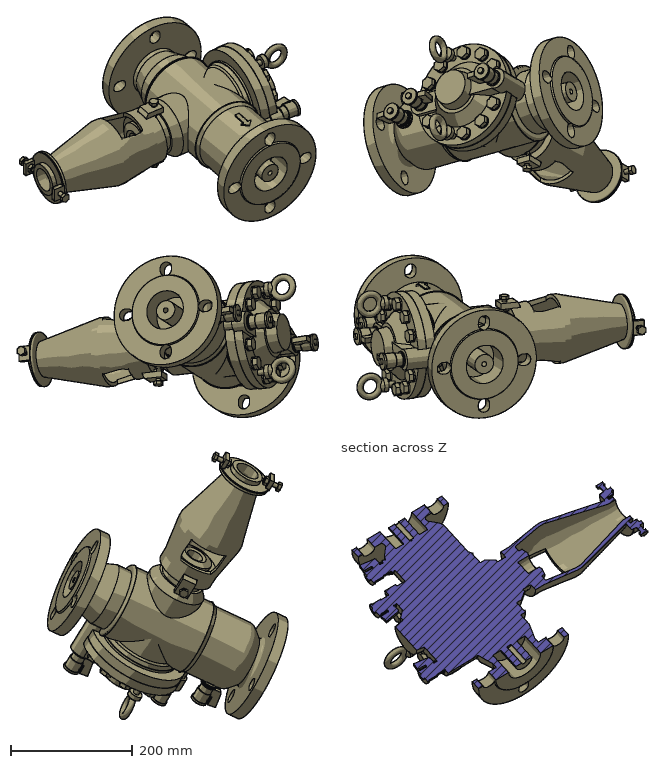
import cadquery as cq
import math


overlap = 2.5

run_left = -156.5
run_right = 200.0
flange_radius = 185.0 / 2
flange_thickness = 18.5
face_radius = 59.0
face_base_radius = 60.5
face_height = 3.0
flange_slot_width = 20.0
flange_slot_inner = 59.0
flange_slot_outer = 82.5
pipe_radius = 43.5
inlet_taper_start = -126.5
inlet_taper_end = -98.0
inlet_radius = 53.0
body_radius = 62.7
lip_radius = 64.0
lip_width = 4.5
lip_round = 4.0
body_left = -75.0
body_right = 73.5
outlet_left = 80.5
outlet_radius = 60.0
outlet_shoulder_start = 146.0
outlet_shoulder_middle = (153.0, 58.0)
outlet_shoulder_end = (159.0, 53.5)
outlet_neck_start = 170.5
outlet_neck_radius = 43.0
outlet_neck_round = 5.5
bore_radius = 65.0 / 2
bore_depth = 43.5
plug_radius = 33.0 / 2
plug_setback = 2.5
plug_hole_diameter = 8.0

neck_radius = body_radius - 0.15
neck_ring_radius = 69.0
cover_bottom = 59.5
cover_split = 76.0
cover_top = 90.7
body_flange_radius = 88.0
cover_radius = 89.0
dome_step = 109.5
dome_top = 128.0
dome_base_radius = 57.0
dome_step_radius = 39.5
cap_base_radius = 33.5
cap_top_radius = 30.0
cover_bolt_circle = 73.0
cover_bolt_angles = (28, 56, 94, 124, 152)
eyebolt_angle = 75
eye_top = 157.0
eye_outer_radius = 22.5
eye_wire_radius = 5.5

lug_radius = 17.5
lug_offset = 81.0
left_arm_half_width = 16.0
left_lug_top = 114.0
left_lug_bottom = 43.5
right_lug_top = 98.0
lug_foot_radius = 13.5
left_cock_x = -78.0
right_cock_x = 76.7
outlet_cock_x = 135.0
outlet_cock_base = 66.0
handle_thickness = 8.5

socket_radius = 50.5
socket_tip_radius = 39.5
socket_end = -72.0
socket_tip = -87.0
drain_neck_radius = 35.0
bell_top = -102.5
bell_shoulder = -119.5
bell_waist_top = -182.5
bell_waist_bottom = -192.5
bell_bottom = -301.5
bell_top_radius = 48.5
bell_waist_radius = 57.5
bell_bottom_radius = 30.0
bell_wall = 6.5
bell_roof = -128.0
nozzle_shoulder = -133.5
nozzle_end = -137.0
nozzle_radius = 32.0
nozzle_countersink = 2.0
nozzle_bore_radius = 28.0 / 2
nozzle_bore_depth = 24.0
window_top = -137.5
window_arc_end = -154.5
window_arc_half_width = 31.0
window_arc_y = -146.0
window_half_width = 32.5
window_top_half_width = 27.5
plate_radius = 45.5
plate_round = 2.0
lower_plate_radius = 45.0
plate_seam = -306.5
plate_bottom = -309.0
stub_radius = 55.0 / 2
stub_bore_radius = 39.5 / 2
stub_end = -317.0

clamp_half_width = 12.3
screw_hex = 13.5
screw_radius = 8.0 / 2
screw_head = 6.0
screw_tip = 1.0
upper_screw_y = -96.0
lower_screw_y = -315.0
screw_stand_off = 4.5
lower_screw_stand_off = 11.0
clamp_inner = 46.5
clamp_outer = 56.5
clamp_start = -85.5
clamp_bevel = -115.5
tab_inner = 38.0
tab_outer = 45.5
tab_end = -326.0


def turned_x(points):
    """Solid of revolution about X from (x, radius) points, closed along the axis."""
    closed = [(points[0][0], 0)] + points + [(points[-1][0], 0)]
    return cq.Workplane("XY").polyline(closed).close().revolve(360, (0, 0, 0), (1, 0, 0))


def turned_y(points, x=0, z=0):
    """Solid of revolution about an axis parallel to Y from (y, radius) points."""
    profile = [(0, points[0][0])] + [(r, y) for y, r in points] + [(0, points[-1][0])]
    solid = cq.Workplane("XY").polyline(profile).close().revolve(360, (0, 0, 0), (0, 1, 0))
    return solid.translate((x, 0, z))


def cylinder_y(radius, start, end, x=0, z=0):
    return turned_y([(start, radius), (end, radius)], x, z)


def hexagon(plane, across_flats):
    """Workplane with a hexagon outline of the given width across flats."""
    return cq.Workplane(plane).polygon(6, across_flats / math.cos(math.pi / 6))


def mirrored_z(solid):
    return solid.union(solid.mirror("XY"))


def run_flange(face_x, inward):
    """Pipe flange with a raised face; inward is the X direction towards the body."""
    back_x = face_x + inward * face_height
    disc = turned_x([(face_x, face_radius), (back_x, face_base_radius), (back_x, flange_radius),
                     (back_x + inward * flange_thickness, flange_radius)])
    slots = (cq.Workplane("YZ", origin=(face_x, 0, 0))
             .polarArray((flange_slot_inner + flange_slot_outer) / 2, 0, 360, 4)
             .slot2D(flange_slot_outer - flange_slot_inner, flange_slot_width)
             .extrude(inward * (face_height + flange_thickness)))
    return disc.cut(slots)


def run_bore(face_x, inward):
    """Cavity at a run end, leaving a centre plug with a small hole."""
    floor_x = face_x + inward * bore_depth
    plug_x = face_x + inward * plug_setback
    cavity = turned_x([(face_x, bore_radius), (floor_x, bore_radius)])
    plug = turned_x([(plug_x, plug_radius), (floor_x, plug_radius)])
    hole = turned_x([(plug_x, plug_hole_diameter / 2), (floor_x, plug_hole_diameter / 2)])
    return cavity.cut(plug).union(hole)


def run_body():
    inlet = turned_x([(run_left + face_height, pipe_radius), (inlet_taper_start, pipe_radius),
                      (inlet_taper_end, inlet_radius), (body_left + lip_width, inlet_radius)])
    lip = turned_x([(body_left, lip_radius), (body_left + lip_width, lip_radius)])
    lip = lip.faces("<X").edges().fillet(lip_round)
    middle = turned_x([(body_left + lip_width, body_radius), (body_right, body_radius),
                       (body_right, lip_radius), (outlet_left, outlet_radius)])
    flange_back = run_right - face_height - flange_thickness
    neck_start = flange_back - outlet_neck_round
    outlet = (cq.Workplane("XY").moveTo(outlet_left, 0).lineTo(outlet_left, outlet_radius)
              .lineTo(outlet_shoulder_start, outlet_radius)
              .threePointArc(outlet_shoulder_middle, outlet_shoulder_end)
              .lineTo(outlet_neck_start, outlet_neck_radius).lineTo(neck_start, outlet_neck_radius)
              .radiusArc((flange_back, outlet_neck_radius + outlet_neck_round), -outlet_neck_round)
              .lineTo(flange_back, 0).close()
              .revolve(360, (0, 0, 0), (1, 0, 0)))
    return inlet.union(lip).union(middle).union(outlet)


def flow_arrow():
    """Raised arrow on top of the outlet, pointing along +X."""
    tail_x, barb_x, tip_x = 102.0, 127.5, 138.0
    shaft, barb = 4.5, 10.0
    embed, height = 3.0, 2.0
    return (cq.Workplane("XY").workplane(offset=outlet_radius - embed)
            .polyline([(tail_x, -shaft), (barb_x, -shaft), (barb_x, -barb), (tip_x, 0),
                       (barb_x, barb), (barb_x, shaft), (tail_x, shaft)])
            .close().extrude(embed + height))


def cover():
    ring_start, ring_step, ring_top = 45.0, 48.5, 55.5
    neck = turned_y([(0, neck_radius), (ring_start, neck_radius), (ring_step, 65.5),
                     (ring_top, 67.5), (ring_top, neck_ring_radius), (cover_bottom, neck_ring_radius)])
    lower = cylinder_y(body_flange_radius, cover_bottom, cover_split)
    upper = cylinder_y(cover_radius, cover_split, cover_top)
    dome = turned_y([(cover_top, dome_base_radius), (dome_step, dome_step_radius),
                     (dome_step, cap_base_radius), (dome_top, cap_top_radius)])
    return neck.union(lower).union(upper).union(dome)


def cover_bolt(angle):
    washer_radius, washer_top, head_width, head_height = 10.5, 2.5, 19.0, 7.5
    x = cover_bolt_circle * math.cos(math.radians(angle))
    z = cover_bolt_circle * math.sin(math.radians(angle))
    washer = cylinder_y(washer_radius, cover_top, cover_top + washer_top, x, z)
    head = (hexagon("XZ", head_width).extrude(-head_height)
            .rotate((0, 0, 0), (0, 1, 0), 30)
            .translate((x, cover_top + washer_top, z)))
    return washer.union(head)


def eyebolt():
    """Lifting eye whose ring lies in a plane normal to X."""
    x = cover_bolt_circle * math.cos(math.radians(eyebolt_angle))
    z = cover_bolt_circle * math.sin(math.radians(eyebolt_angle))
    stem_radius, collar_radius, tip_radius = 10.0 / 2, 23.0 / 2, 6.0
    collar_bottom, collar_top, tip = 104.7, 112.5, 118.0
    stem = turned_y([(cover_top, stem_radius), (collar_bottom, stem_radius),
                     (collar_bottom, collar_radius), (collar_top, collar_radius),
                     (tip, tip_radius)], x, z)
    ring_radius = eye_outer_radius - eye_wire_radius
    ring = (cq.Workplane("XY").center(0, ring_radius).circle(eye_wire_radius)
            .revolve(360, (0, -ring_radius, 0), (1, -ring_radius, 0))
            .translate((x, eye_top - eye_outer_radius, z)))
    return stem.union(ring)


def cock_lugs():
    """Lugs with rounded ends that run from the cover out to the left and right cocks."""
    def lug(side, bottom, top, arm_half_width):
        end = cylinder_y(lug_radius, bottom, top, side * lug_offset)
        arm = cq.Workplane("XY").box(lug_offset, top - cover_split, 2 * arm_half_width)
        return end.union(arm.translate((side * lug_offset / 2, (top + cover_split) / 2, 0)))

    left = lug(-1, left_lug_bottom, left_lug_top, left_arm_half_width)
    right = lug(1, cover_split, right_lug_top, lug_radius)
    foot = cylinder_y(lug_foot_radius, cover_bottom - 5, cover_split, lug_offset)
    return left.union(right).union(foot)


def test_cock(x, base, side):
    """Test cock standing on base; its handle hangs on the given X side."""
    neck, ring, barrel, cap, knob = 22.0 / 2, 27.0 / 2, 25.0 / 2, 28.0 / 2, 10.0 / 2
    ring_bottom, ring_top, barrel_bottom, cap_bottom, cap_top, knob_top = 2.0, 4.0, 15.5, 33.5, 37.0, 40.5
    cock = turned_y([(0, neck), (ring_bottom, neck), (ring_bottom, ring), (ring_top, ring),
                     (ring_top, neck), (barrel_bottom, neck), (barrel_bottom, barrel),
                     (cap_bottom, barrel), (cap_bottom, cap), (cap_top, cap),
                     (cap_top, knob), (knob_top, knob)])
    outline = [(9.5, 7.0), (13.5, 5.0), (23.0, 5.0), (25.5, 6.8), (30.0, 34.5), (16.0, 35.5),
               (15.5, 20.0), (11.0, 20.0)]
    handle = (cq.Workplane("XY").polyline([(side * px, py) for px, py in outline]).close()
              .extrude(handle_thickness / 2, both=True))
    return cock.union(handle).translate((x, base, 0))


def outlet_cock_collar():
    foot_radius, rim_radius, top_radius = 13.0, 15.5, 14.0
    rim_bottom, rim_top = 62.7, 64.5
    return turned_y([(outlet_radius - 5, foot_radius), (outlet_radius, foot_radius),
                     (rim_bottom, rim_radius), (rim_top, rim_radius),
                     (outlet_cock_base, top_radius)], outlet_cock_x)


def drain_bell():
    socket = turned_y([(0, socket_radius), (socket_end, socket_radius), (socket_tip, socket_tip_radius),
                       (socket_tip, drain_neck_radius), (bell_shoulder, drain_neck_radius)])
    bell = turned_y([(bell_top, bell_top_radius), (bell_shoulder, bell_top_radius),
                     (bell_waist_top, bell_waist_radius), (bell_waist_bottom, bell_waist_radius),
                     (bell_bottom, bell_bottom_radius)])
    cavity = turned_y([(bell_roof, bell_top_radius - bell_wall),
                       (bell_waist_top, bell_waist_radius - bell_wall),
                       (bell_waist_bottom, bell_waist_radius - bell_wall),
                       (bell_bottom, stub_bore_radius)])
    nozzle = turned_y([(bell_roof, nozzle_radius), (nozzle_shoulder, nozzle_radius),
                       (nozzle_end, stub_bore_radius)])
    nozzle_bore = turned_y([(nozzle_end + nozzle_bore_depth, nozzle_bore_radius),
                            (nozzle_end + nozzle_countersink, nozzle_bore_radius),
                            (nozzle_end, stub_bore_radius)])
    window = (cq.Workplane("XY").moveTo(-window_half_width, bell_waist_top)
              .lineTo(-window_half_width, window_arc_end)
              .threePointArc((-window_arc_half_width, window_arc_y), (-window_top_half_width, window_top))
              .lineTo(window_top_half_width, window_top)
              .threePointArc((window_arc_half_width, window_arc_y), (window_half_width, window_arc_end))
              .lineTo(window_half_width, bell_waist_top).close()
              .extrude(2 * bell_waist_radius, both=True))
    plate = cylinder_y(plate_radius, bell_bottom, plate_seam).edges().fillet(plate_round)
    stub = turned_y([(bell_bottom, stub_radius), (plate_seam, stub_radius),
                     (plate_seam, lower_plate_radius), (plate_bottom, lower_plate_radius),
                     (plate_bottom, stub_radius), (stub_end, stub_radius)])
    stub_bore = cylinder_y(stub_bore_radius, bell_bottom, stub_end)
    shell = bell.cut(cavity).cut(window).union(plate.union(stub).cut(stub_bore))
    return shell.union(socket).union(nozzle).cut(nozzle_bore)


def clamp_screw(tip, nut_face, head_face):
    """Screw along Z with a nut; the hexagons have two corners along X."""
    shank = cq.Workplane("XY").workplane(offset=tip).circle(screw_radius).extrude(head_face - tip)
    head = hexagon("XY", screw_hex).extrude(screw_head).translate((0, 0, head_face))
    nut = hexagon("XY", screw_hex).extrude(-screw_head).translate((0, 0, nut_face))
    return shank.union(head).union(nut)


def upper_clamp():
    """Lug on the top side of the bell collar with a screw that bears on the drain neck."""
    lug = (cq.Workplane("YZ")
           .polyline([(clamp_start, clamp_inner), (clamp_start, clamp_outer), (clamp_bevel, clamp_outer),
                      (bell_shoulder, bell_top_radius), (bell_shoulder, drain_neck_radius),
                      (bell_top, drain_neck_radius), (bell_top, clamp_inner)])
           .close().extrude(clamp_half_width, both=True))
    screw = clamp_screw(drain_neck_radius - overlap, clamp_inner, clamp_outer + screw_stand_off)
    return lug.union(screw.translate((0, upper_screw_y, 0)))


def lower_clamp():
    """Tab under the outlet plate on the +X side with a screw along X."""
    tab_top = plate_bottom + overlap
    tab = (cq.Workplane("XY")
           .box(tab_outer - tab_inner, tab_top - tab_end, 2 * clamp_half_width)
           .translate(((tab_inner + tab_outer) / 2, (tab_top + tab_end) / 2, 0)))
    screw = clamp_screw(tab_inner - screw_head - screw_tip, tab_inner, tab_outer + lower_screw_stand_off)
    screw = screw.rotate((0, 0, 0), (0, 1, 0), 90)
    return tab.union(screw.translate((0, lower_screw_y, 0)))


result = run_body().union(cover()).union(drain_bell())
for end_x, inward in ((run_left, 1), (run_right, -1)):
    result = result.union(run_flange(end_x, inward)).cut(run_bore(end_x, inward))
result = result.union(flow_arrow()).union(cock_lugs())
for angle in cover_bolt_angles:
    result = result.union(mirrored_z(cover_bolt(angle)))
result = result.union(mirrored_z(eyebolt()))
result = result.union(test_cock(left_cock_x, left_lug_top, 1))
result = result.union(test_cock(right_cock_x, right_lug_top, -1))
result = result.union(outlet_cock_collar())
result = result.union(test_cock(outlet_cock_x, outlet_cock_base, 1))
result = result.union(mirrored_z(upper_clamp()))
lower_tab = lower_clamp()
result = result.union(lower_tab).union(lower_tab.mirror("YZ"))